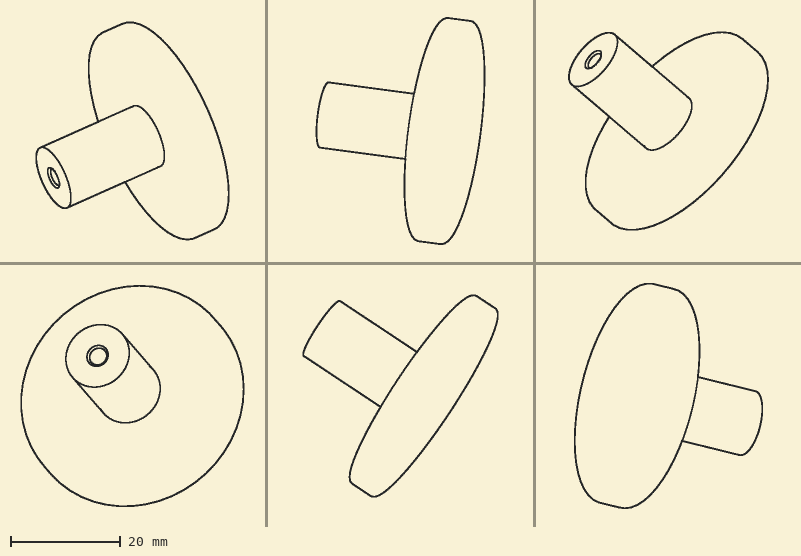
import cadquery as cq
import math

disc_diameter = 41.0
disc_thickness = 5.0
rim_fillet = 0.5

stem_diameter = 12.0
stem_length = 20.0

hole_diameter = 3.25
hole_depth = 10.0
drill_tip_angle = 118.0
countersink_diameter = 4.0
countersink_angle = 90.0


def cone_height(large_diameter, small_diameter, included_angle):
    """Axial height of a cone frustum with the given included angle in degrees."""
    half_angle = math.radians(included_angle / 2)
    return (large_diameter - small_diameter) / 2 / math.tan(half_angle)


def make_disc():
    """Disc with both rim edges rounded, its stem-side face on the XZ plane."""
    disc = cq.Workplane("XZ").circle(disc_diameter / 2).extrude(-disc_thickness)
    return disc.edges().fillet(rim_fillet)


def make_stem():
    return cq.Workplane("XZ").circle(stem_diameter / 2).extrude(stem_length)


def make_hole():
    """Countersunk drill hole with a conical bottom, revolved about the Y axis."""
    mouth_y = -stem_length
    countersink_end_y = mouth_y + cone_height(countersink_diameter, hole_diameter, countersink_angle)
    wall_end_y = mouth_y + hole_depth
    tip_y = wall_end_y + cone_height(hole_diameter, 0, drill_tip_angle)
    profile = (
        cq.Workplane("XY")
        .moveTo(0, mouth_y)
        .lineTo(countersink_diameter / 2, mouth_y)
        .lineTo(hole_diameter / 2, countersink_end_y)
        .lineTo(hole_diameter / 2, wall_end_y)
        .lineTo(0, tip_y)
        .close()
    )
    return profile.revolve(360, (0, 0, 0), (0, 1, 0))


result = make_disc().union(make_stem()).cut(make_hole())